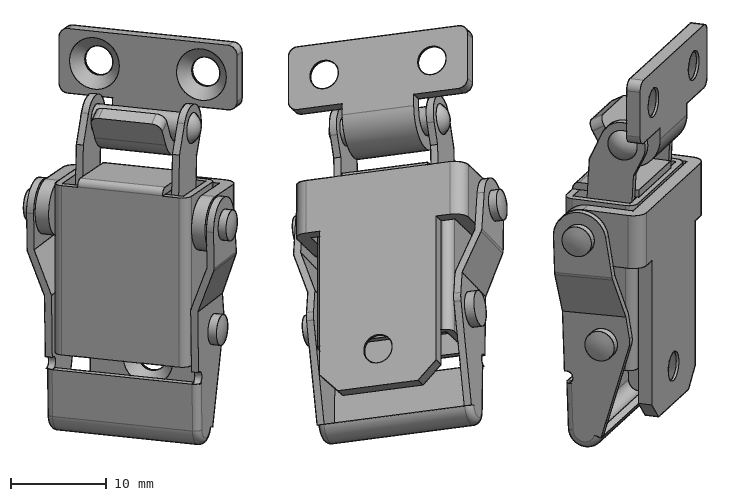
import cadquery as cq
import math


total_height = 42.0
plate = 1.5
sheet = 0.8
bend_radius = 0.75
pin_radius = 1.65
pin_cap = 0.25
screw_hole_diameter = 3.15
countersink_diameter = 5.6
countersink_angle = 90

strike_width = 20.0
strike_height = 7.0
strike_corner = 1.0
strike_hole_spacing = 12.0
strike_hole_drop = 3.5
hook_width = 8.0
hook_inner_radius = 2.0
hook_lean = 30
hook_tip_length = 3.0
hook_tip_corner = 1.0

rod_radius = 1.5
rod_z = 33.25
rod_cap = 0.85
link_width = 11.6
link_length = 21.25
link_tilt = 3.1
upper_eye = 2.52
lower_eye = 2.2
arm_front = 3.6
arm_rear = 1.4
upper_front_bend = 2.2
upper_rear_bend = 3.2
lower_front_bend = 3.03
lower_rear_bend = 2.35

tube_width = 15.2
tube_depth = 8.0
tube_bottom = 8.9
tube_height = 18.35
tube_corner = 1.0
flap_width = 9.55
flap_reach = 7.4

base_width = 19.08
base_lower_width = 13.0
base_bottom = 3.0
base_chamfer = 2.0
base_hole_z = 7.1
ear_radius = 2.95

lever_tilt = 1.9
lever_upper_width = 21.0
lever_lower_width = 17.23
upper_bend_drop = 4.1
lower_bend_drop = 8.9
heel_back = 4.55
heel_drop = 11.75
heel_radius = 2.0
tip_radius = 1.97
tip_drop = 22.0
notch_radius = 0.67
notch_drop = 16.2
notch_depth = 0.92
pivot_pin_length = 1.85

pin_head_radius = 1.9
pin_head_length = 1.05
pin_tail_length = 0.95

rod_y = -(hook_inner_radius + plate)
hook_z = rod_z + hook_inner_radius - rod_radius
lower_pin_y = rod_y - link_length * math.sin(math.radians(link_tilt))
lower_pin_z = rod_z - link_length * math.cos(math.radians(link_tilt))
tube_front = -(plate + tube_depth)
tube_top = tube_bottom + tube_height
pivot_y = tube_front + ear_radius
tip_y = tip_radius - ear_radius
pivot_z = (
    tip_radius
    + tip_drop * math.cos(math.radians(lever_tilt))
    - tip_y * math.sin(math.radians(lever_tilt))
)


def along(point, angle, distance):
    """Point at a distance from another, in a direction given in degrees."""
    turn = math.radians(angle)
    return (point[0] + distance * math.cos(turn), point[1] + distance * math.sin(turn))


def tangent_angle(center, radius, point, side):
    """Direction from a circle's center to where a line from an outside point touches it."""
    run = point[0] - center[0]
    rise = point[1] - center[1]
    spread = math.acos(radius / math.hypot(run, rise))
    return math.degrees(math.atan2(rise, run) + side * spread)


def box(x_range, y_range, z_range):
    size = [high - low for low, high in (x_range, y_range, z_range)]
    return cq.Workplane("XY").box(*size, centered=False).translate((x_range[0], y_range[0], z_range[0]))


def side_extrude(outline, width):
    """Extrude a closed Y-Z outline symmetrically along X."""
    return outline.close().extrude(width / 2, both=True)


def x_cylinder(radius, y, z, start, end):
    return cq.Workplane("YZ", origin=(start, 0, 0)).center(y, z).circle(radius).extrude(end - start)


def domed_cylinder(radius, cap, y, z, start, end):
    """Cylinder along X whose end carries a dome; an end below the start points it towards -X."""
    tip = end + math.copysign(cap, end - start)
    sphere_radius = (radius**2 + cap**2) / (2 * cap)
    half_turn = math.asin(radius / sphere_radius) / 2
    sag = sphere_radius * (1 - math.cos(half_turn))
    middle = (tip - math.copysign(sag, end - start), sphere_radius * math.sin(half_turn))
    return (
        cq.Workplane("XY")
        .moveTo(start, 0)
        .lineTo(start, radius)
        .lineTo(end, radius)
        .threePointArc(middle, (tip, 0))
        .close()
        .revolve(360, (0, 0, 0), (1, 0, 0))
        .translate((0, y, z))
    )


def countersunk_hole(body, x, z):
    """Screw hole through the thick sheet, countersunk from the front."""
    depth = (countersink_diameter - screw_hole_diameter) / 2 / math.tan(math.radians(countersink_angle / 2))
    cone = cq.Solid.makeCone(
        countersink_diameter / 2, screw_hole_diameter / 2, depth, cq.Vector(x, -plate, z), cq.Vector(0, 1, 0)
    )
    hole = cq.Workplane("XZ", origin=(x, 0, z)).circle(screw_hole_diameter / 2).extrude(plate)
    return body.cut(hole).cut(cq.Workplane(cone))


def make_strike():
    bottom = total_height - strike_height
    body = box((-strike_width / 2, strike_width / 2), (-plate, 0), (bottom, total_height))
    body = body.edges("|Y").fillet(strike_corner)
    body = body.union(make_hook(bottom))
    for x in (-strike_hole_spacing / 2, strike_hole_spacing / 2):
        body = countersunk_hole(body, x, total_height - strike_hole_drop)
    return body


def make_hook(top):
    """Strip that drops from the strike, curls forward under the rod and ends in a leaning tip."""
    center = (rod_y, hook_z)
    outer_radius = hook_inner_radius + plate
    tip_direction = 90 + hook_lean
    middle_angle = -(180 - hook_lean) / 2
    end_angle = -(180 - hook_lean)
    outer_end = along(center, end_angle, outer_radius)
    inner_end = along(center, end_angle, hook_inner_radius)
    outline = (
        cq.Workplane("YZ")
        .moveTo(0, top)
        .lineTo(0, hook_z)
        .threePointArc(along(center, middle_angle, outer_radius), outer_end)
        .lineTo(*along(outer_end, tip_direction, hook_tip_length))
        .lineTo(*along(inner_end, tip_direction, hook_tip_length))
        .lineTo(*inner_end)
        .threePointArc(along(center, middle_angle, hook_inner_radius), (-plate, hook_z))
        .lineTo(-plate, top)
    )
    hook = side_extrude(outline, hook_width)
    tip_root = along(center, end_angle, hook_inner_radius + plate / 2)
    tip_middle = along(tip_root, tip_direction, hook_tip_length)
    for x in (-hook_width / 2, hook_width / 2):
        corner = cq.selectors.NearestToPointSelector((x, *tip_middle))
        hook = hook.edges(corner).fillet(hook_tip_corner)
    return hook


def make_base():
    """Back plate with two rounded ears, each carrying a pivot pin for the lever."""
    half = base_width / 2
    ear_z = (pivot_z - ear_radius, pivot_z + ear_radius)
    body = box((-half, half), (pivot_y, 0), ear_z)
    body = body.union(x_cylinder(ear_radius, pivot_y, pivot_z, -half, half))
    body = body.edges("|Z and >Y").fillet(plate)
    inside = half - plate
    body = body.cut(box((-inside, inside), (pivot_y - ear_radius, -plate), ear_z))
    lower_half = base_lower_width / 2
    lower = box((-lower_half, lower_half), (-plate, 0), (base_bottom, pivot_z))
    body = body.union(lower.edges("|Y and <Z").chamfer(base_chamfer))
    body = countersunk_hole(body, 0, base_hole_z)
    for side in (-1, 1):
        start = side * (half - plate)
        end = side * (half + pivot_pin_length)
        pivot_pin = domed_cylinder(pin_radius, pin_cap, pivot_y, pivot_z, start, end)
        body = body.union(pivot_pin)
    return body


def make_tube():
    """Rectangular tube with a flap folded back over its top and cross holes for the lower pin."""
    half = tube_width / 2
    body = box((-half, half), (tube_front, -plate), (tube_bottom, tube_top)).edges("|Z").fillet(tube_corner)
    inner = half - sheet
    body = body.cut(box((-inner, inner), (tube_front + sheet, -plate - sheet), (tube_bottom, tube_top)))
    flap_half = flap_width / 2
    flap = box((-flap_half, flap_half), (tube_front, tube_front + flap_reach), (tube_top, tube_top + sheet))
    body = body.union(flap.edges("|X and >Z and <Y").fillet(bend_radius))
    return body.cut(x_cylinder(pin_radius, lower_pin_y, lower_pin_z, -half, half))


def make_link():
    """Two bent arms joined by the domed cross rod at the top."""
    top = (0, 0)
    foot = (0, -link_length)
    top_front = (-arm_front, -upper_front_bend)
    top_rear = (arm_rear, -upper_rear_bend)
    foot_front = (-arm_front, lower_front_bend - link_length)
    foot_rear = (arm_rear, lower_rear_bend - link_length)
    outline = (
        cq.Workplane("YZ")
        .moveTo(*top_front)
        .lineTo(*along(top, tangent_angle(top, upper_eye, top_front, -1), upper_eye))
        .threePointArc((0, upper_eye), along(top, tangent_angle(top, upper_eye, top_rear, 1), upper_eye))
        .lineTo(*top_rear)
        .lineTo(*foot_rear)
        .lineTo(*along(foot, tangent_angle(foot, lower_eye, foot_rear, -1), lower_eye))
        .threePointArc(
            (0, -link_length - lower_eye),
            along(foot, tangent_angle(foot, lower_eye, foot_front, 1), lower_eye),
        )
        .lineTo(*foot_front)
    )
    half = link_width / 2
    inside = half - sheet
    body = side_extrude(outline, link_width)
    body = body.cut(box((-inside, inside), (-link_length, link_length), (-2 * link_length, link_length)))
    body = body.cut(x_cylinder(pin_radius, *foot, -half, half))
    body = body.union(x_cylinder(rod_radius, *top, -half, half))
    for side in (-1, 1):
        body = body.union(domed_cylinder(pin_radius, rod_cap, *top, side * inside, side * half))
    return body.rotate((0, 0, 0), (1, 0, 0), -link_tilt).translate((0, rod_y, rod_z))


def front_outline(upper_half, lower_half, bend_lift):
    """Cranked X-Z outline of the lever between its two side plates."""
    upper = (upper_half, bend_lift - upper_bend_drop)
    lower = (lower_half, bend_lift - lower_bend_drop)
    bottom = -tip_drop - 2 * tip_radius
    right = [(upper_half, 2 * ear_radius), upper, lower, (lower_half, bottom)]
    left = [(-x, z) for x, z in reversed(right)]
    return cq.Workplane("XZ").polyline(right + left).close().extrude(2 * heel_back, both=True)


def make_lever():
    """Two cranked side plates joined by a rounded lip across the front of the foot."""
    tip = (tip_y, -tip_drop)
    heel = (heel_back, -heel_drop)
    lip_top = -notch_drop - notch_radius
    wrap_angle = tangent_angle(tip, tip_radius, heel, -1)
    eye_angle = tangent_angle((0, 0), ear_radius, heel, 1)

    profile = side_extrude(
        cq.Workplane("YZ")
        .moveTo(-ear_radius, 0)
        .threePointArc((0, ear_radius), along((0, 0), eye_angle, ear_radius))
        .lineTo(*heel)
        .lineTo(*along(tip, wrap_angle, tip_radius))
        .threePointArc((tip_y, -tip_drop - tip_radius), (-ear_radius, -tip_drop)),
        lever_upper_width,
    )
    profile = profile.edges(cq.selectors.NearestToPointSelector((0, *heel))).fillet(heel_radius)

    crank = math.atan2((lever_upper_width - lever_lower_width) / 2, lower_bend_drop - upper_bend_drop)
    outer = front_outline(lever_upper_width / 2, lever_lower_width / 2, 0)
    bend_zone = cq.selectors.BoxSelector(
        (-lever_upper_width, -lever_upper_width, -upper_bend_drop - sheet),
        (lever_upper_width, lever_upper_width, -upper_bend_drop + sheet),
    )
    outer = outer.edges("|Y").edges(bend_zone).fillet(bend_radius)
    lower_inside = lever_lower_width / 2 - sheet
    inner = front_outline(lever_upper_width / 2 - sheet, lower_inside, sheet * math.tan(crank / 2))
    lip = make_lip(tip, tip_radius, wrap_angle, lip_top)
    lip_inside = make_lip(tip, tip_radius - sheet, wrap_angle, lip_top)
    body = profile.intersect(outer).cut(inner).union(lip.cut(lip_inside))

    rounded_lip = lip.faces("<X or >X").edges("<Y or <Z").fillet(bend_radius)
    body = body.cut(lip.cut(rounded_lip))

    notch_y = notch_depth - notch_radius - ear_radius
    notch = x_cylinder(notch_radius, notch_y, -notch_drop, -lever_upper_width, lever_upper_width)
    slot = box(
        (-lever_upper_width, lever_upper_width),
        (-2 * ear_radius, notch_y),
        (lip_top, lip_top + 2 * notch_radius),
    )
    body = body.cut(notch).cut(slot)
    body = body.cut(x_cylinder(pin_radius, 0, 0, -lever_upper_width, lever_upper_width))
    body = body.rotate((0, 0, 0), (1, 0, 0), lever_tilt).translate((0, pivot_y, pivot_z))
    half = lever_upper_width / 2
    return body.cut(x_cylinder(pin_radius, lower_pin_y, lower_pin_z, -half, half))


def make_lip(tip, radius, wrap_angle, top):
    """Block inside a given radius around the foot, from the lip's top to where its curl ends."""
    front = tip[0] - radius
    outline = (
        cq.Workplane("YZ")
        .moveTo(front, top)
        .lineTo(front, tip[1])
        .threePointArc((tip[0], tip[1] - radius), along(tip, wrap_angle, radius))
        .lineTo(*tip)
        .lineTo(tip[0], top)
    )
    return side_extrude(outline, lever_lower_width)


def make_lower_pin():
    half = lever_lower_width / 2
    body = domed_cylinder(pin_radius, pin_cap, lower_pin_y, lower_pin_z, -half, half + pin_tail_length)
    return body.union(x_cylinder(pin_head_radius, lower_pin_y, lower_pin_z, -half - pin_head_length, -half))


strike = make_strike()
base = make_base()
tube = make_tube()
link = make_link()
lever = make_lever()
lower_pin = make_lower_pin()

result = cq.Compound.makeCompound(
    [strike.val(), base.val(), tube.val(), link.val(), lever.val(), lower_pin.val()]
)